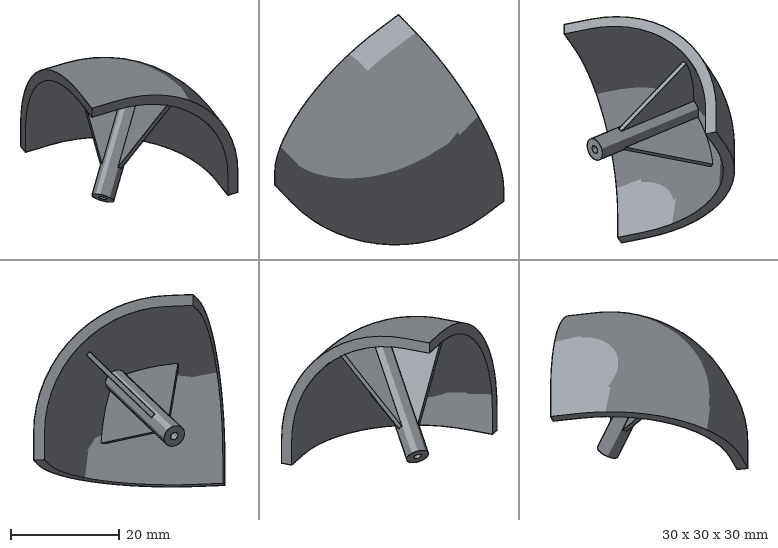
import cadquery as cq
import math

size = 30.0
skirt = 5.0
wall = 2.07
outer_radius = size - skirt
inner_radius = outer_radius - wall

post_diameter = 4.2
post_overhang = 1.08
bore_diameter = 1.5

fin_thickness = 0.9
fin_count = 3
fin_start = 1.68
fin_tip_height = 19.8
embed = wall / 2


def rounded_block(radius):
    """Block from the open corner (skirt, -skirt, -skirt), rounded about the origin."""
    side = radius + skirt
    return (
        cq.Workplane("XY")
        .box(side, side, side, centered=False)
        .translate((-radius, -skirt, -skirt))
        .edges("(<X and >Y) or (<X and >Z) or (>Y and >Z)")
        .fillet(radius)
    )


def fin(plane):
    """Fin in the given plane: local x points out from the post, local y along it."""
    reach = inner_radius + embed
    tip_radius = math.sqrt(inner_radius**2 - fin_tip_height**2)
    slope = math.atan2(tip_radius, fin_tip_height - fin_start)
    edge_angle = slope - math.asin(fin_start * math.sin(slope) / reach)
    middle_angle = edge_angle / 2

    def on_arc(angle):
        return (reach * math.sin(angle), reach * math.cos(angle))

    return (
        cq.Workplane(plane)
        .moveTo(0, fin_start)
        .lineTo(*on_arc(edge_angle))
        .threePointArc(on_arc(middle_angle), (0, reach))
        .close()
        .extrude(fin_thickness / 2, both=True)
    )


shell = rounded_block(outer_radius).cut(rounded_block(inner_radius))

axis = cq.Vector(-1, 1, 1).normalized()
first_radial = cq.Vector(-1, -2, 1).normalized()
post_end = axis * -post_overhang
post_plane = cq.Plane(origin=post_end.toTuple(), xDir=first_radial.toTuple(), normal=axis.toTuple())
post_length = post_overhang + inner_radius

post = cq.Workplane(post_plane).circle(post_diameter / 2).extrude(post_length + embed)
bore = cq.Workplane(post_plane).circle(bore_diameter / 2).extrude(post_length)

result = shell.union(post)
for index in range(fin_count):
    angle = 2 * math.pi * index / fin_count
    radial = first_radial * math.cos(angle) + axis.cross(first_radial) * math.sin(angle)
    fin_plane = cq.Plane(origin=(0, 0, 0), xDir=radial.toTuple(), normal=radial.cross(axis).toTuple())
    result = result.union(fin(fin_plane))
result = result.cut(bore)